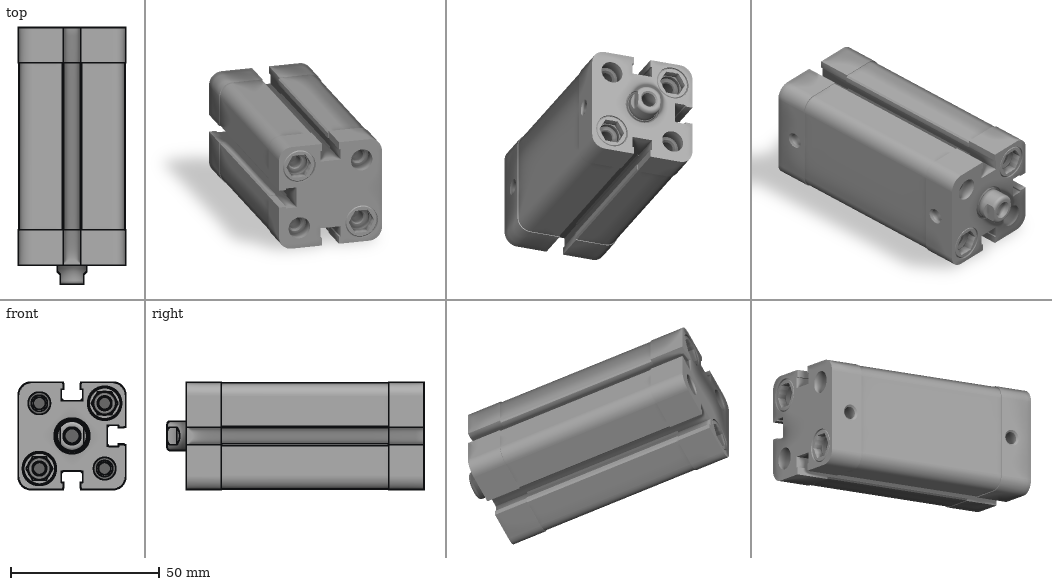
import cadquery as cq
import math


total_length = 86.6
rod_protrusion = 6.4
body_length = total_length - rod_protrusion
cap_length = 11.95
tube_length = body_length - 2 * cap_length

cap_width = 36.3
tube_inset = 0.22
tube_width = cap_width - 2 * tube_inset
corner_radius = 4.5

slot_depth = 6.2
slot_lip = 2.5
slot_inner_width = 7.1
cap_slot_opening = 6.0
tube_slot_opening = 5.45
tube_lip_chamfer = 0.5
tube_slot_floor_chamfer = 0.6

corner_offset = 11.0
mount_hole_diameter = 7.5
mount_hole_depth = 4.7
thread_diameter = 4.2
thread_depth = 10.4
mount_thread_mouth = 5.45
screw_thread_mouth = 4.9
screw_recess_diameter = 11.4
screw_head_diameter = 11.1
screw_face_diameter = 10.5
screw_face_recess = 0.2
screw_groove_depth = 0.6
hex_across_flats = 7.8
socket_bore_diameter = 8.0
hex_depth = 3.0

bore_diameter = 20.0
front_wall = 5.2
rear_wall = 6.1

port_diameter = 4.2
port_mouth = 5.45
front_port_y = 7.7
rear_port_setback = 7.5
rear_port_y = body_length - rear_port_setback
port_break_width = 2.9

rod_diameter = 10.0
rod_tip_fillet = 1.2
rod_flats_width = 8.0
rod_flats_length = 3.3
rod_thread_diameter = 4.9
rod_thread_mouth = 6.0
rod_thread_depth = 13.85
wiper_groove_diameter = 12.0
wiper_lip_base = 10.9
wiper_lip_top = 10.5
wiper_groove_depth = 0.5

bore_start = front_wall
bore_end = body_length - rear_wall


def disc(diameter, y_start, y_end, x=0, z=0):
    """Cylinder along Y between two Y positions."""
    return cq.Workplane("XZ", origin=(x, y_start, z)).circle(diameter / 2).extrude(y_start - y_end)


def cone(mouth, bottom, depth, origin, direction):
    """Cone frustum from the mouth diameter to the bottom diameter along the given direction."""
    start = cq.Vector(*origin)
    axis = cq.Vector(*direction)
    return cq.Workplane(cq.Solid.makeCone(mouth / 2, bottom / 2, depth, pnt=start, dir=axis))


def square_block(width, length, y_start):
    """Square bar along Y with rounded long edges."""
    plane = cq.Workplane("XZ", origin=(0, y_start, 0))
    return plane.rect(width, width).extrude(-length).edges("|Y").fillet(corner_radius)


def in_three_slots(slot):
    """Copies of the +Z slot on the +Z, +X and -Z sides."""
    return [slot.rotate((0, 0, 0), (0, 1, 0), angle) for angle in (0, 90, 180)]


def t_slot(opening, length, y_start):
    """Mouth and inner part of a T-slot cutter on the +Z side."""
    top = cap_width / 2
    mouth = cq.Workplane("XZ", origin=(0, y_start, top - slot_depth / 2)).rect(opening, slot_depth)
    inner_height = slot_depth - slot_lip
    inner_z = top - slot_depth + inner_height / 2
    inner = cq.Workplane("XZ", origin=(0, y_start, inner_z)).rect(slot_inner_width, inner_height)
    return mouth.extrude(-length), inner.extrude(-length)


def cap_slot():
    mouth, inner = t_slot(cap_slot_opening, cap_length, 0)
    return mouth.union(inner)


def tube_slot():
    """T-slot cutter with chamfered lips and chamfered floor corners."""
    mouth, inner = t_slot(tube_slot_opening, tube_length, cap_length)
    inner = inner.edges("|Y and <Z").chamfer(tube_slot_floor_chamfer)
    tube_top = tube_width / 2
    half_opening = tube_slot_opening / 2
    flare = (
        cq.Workplane("XZ", origin=(0, cap_length, 0))
        .moveTo(-half_opening - tube_lip_chamfer, tube_top)
        .lineTo(half_opening + tube_lip_chamfer, tube_top)
        .lineTo(half_opening, tube_top - tube_lip_chamfer)
        .lineTo(-half_opening, tube_top - tube_lip_chamfer)
        .close()
        .extrude(-tube_length)
    )
    return mouth.union(inner).union(flare)


def threaded_hole(mouth, x, z):
    """Corner hole: a wide entry, then a countersunk thread hole at its floor."""
    countersink_depth = (mouth - thread_diameter) / 2
    entry = disc(mount_hole_diameter, 0, mount_hole_depth, x, z)
    thread = disc(thread_diameter, mount_hole_depth, thread_depth, x, z)
    sink = cone(mouth, thread_diameter, countersink_depth, (x, mount_hole_depth, z), (0, 1, 0))
    return entry.union(thread).union(sink)


def ring_groove(outer, inner_top, inner_base, y_top, y_floor, x=0, z=0):
    """Ring groove with a straight outer wall and an inner wall that widens toward the floor."""
    core = cone(inner_top, inner_base, y_floor - y_top, (x, y_top, z), (0, 1, 0))
    return disc(outer, y_top, y_floor, x, z).cut(core)


def screw_head(x, z):
    """Recessed screw head: its hex socket and the bevelled gap around it."""
    hex_corner_diameter = hex_across_flats / math.cos(math.pi / 6)
    socket = cq.Workplane("XZ", origin=(x, 0, z)).polygon(6, hex_corner_diameter).extrude(-hex_depth)
    scallops = disc(socket_bore_diameter, 0, hex_depth, x, z)
    recess = disc(screw_recess_diameter, 0, screw_face_recess, x, z)
    groove = ring_groove(
        screw_recess_diameter,
        screw_face_diameter,
        screw_head_diameter,
        screw_face_recess,
        screw_groove_depth,
        x,
        z,
    )
    return threaded_hole(screw_thread_mouth, x, z).union(socket).union(scallops).union(recess).union(groove)


def air_port(y):
    """Countersunk port from the -X side whose floor just breaks into the bore."""
    side = cap_width / 2
    floor_distance = math.sqrt((bore_diameter / 2) ** 2 - (port_break_width / 2) ** 2)
    depth = side - floor_distance
    hole = cq.Workplane("YZ", origin=(-side, y, 0)).circle(port_diameter / 2).extrude(depth)
    sink = cone(port_mouth, port_diameter, (port_mouth - port_diameter) / 2, (-side, y, 0), (1, 0, 0))
    return hole.union(sink)


def plain_cap():
    """Front-facing cap with slots, mounting holes and screw heads, but no port or bore."""
    cap = square_block(cap_width, cap_length, 0)
    for slot in in_three_slots(cap_slot()):
        cap = cap.cut(slot)
    for side in (1, -1):
        cap = cap.cut(threaded_hole(mount_thread_mouth, side * corner_offset, -side * corner_offset))
        cap = cap.cut(screw_head(side * corner_offset, side * corner_offset))
    return cap


def cylinder_bore():
    return disc(bore_diameter, bore_start, bore_end)


def make_front_cap():
    rod_hole = disc(rod_diameter, 0, bore_start)
    wiper = ring_groove(wiper_groove_diameter, wiper_lip_top, wiper_lip_base, 0, wiper_groove_depth)
    return plain_cap().cut(cylinder_bore()).cut(rod_hole).cut(wiper).cut(air_port(front_port_y))


def make_rear_cap():
    cap = plain_cap().mirror("XZ").translate((0, body_length, 0))
    return cap.cut(cylinder_bore()).cut(air_port(rear_port_y))


def make_tube():
    tube = square_block(tube_width, tube_length, cap_length)
    for slot in in_three_slots(tube_slot()):
        tube = tube.cut(slot)
    return tube.cut(cylinder_bore())


def rod_flat():
    """Cutter for the wrench flat on the +X side, with a 45 degree run-out."""
    flat_x = rod_flats_width / 2
    rod_radius = rod_diameter / 2
    tip_y = -rod_protrusion
    flat_end_y = tip_y + rod_flats_length
    return (
        cq.Workplane("XY", origin=(0, 0, -rod_radius))
        .moveTo(flat_x, tip_y)
        .lineTo(flat_x, flat_end_y)
        .lineTo(rod_radius, flat_end_y + rod_radius - flat_x)
        .lineTo(rod_radius, tip_y)
        .close()
        .extrude(rod_diameter)
    )


def make_piston_rod():
    """Rod with a threaded, flatted tip and the piston that fills the bore."""
    tip_y = -rod_protrusion
    rod = disc(rod_diameter, tip_y, bore_start).faces("<Y").edges().fillet(rod_tip_fillet)
    rod = rod.cut(rod_flat()).cut(rod_flat().mirror("YZ"))
    mouth_depth = (rod_thread_mouth - rod_thread_diameter) / 2
    mouth = cone(rod_thread_mouth, rod_thread_diameter, mouth_depth, (0, tip_y, 0), (0, 1, 0))
    thread = disc(rod_thread_diameter, tip_y, tip_y + rod_thread_depth)
    piston = cylinder_bore()
    return rod.union(piston).cut(thread).cut(mouth)


front_cap = make_front_cap()
rear_cap = make_rear_cap()
tube = make_tube()
piston_rod = make_piston_rod()

result = cq.Compound.makeCompound([front_cap.val(), rear_cap.val(), tube.val(), piston_rod.val()])